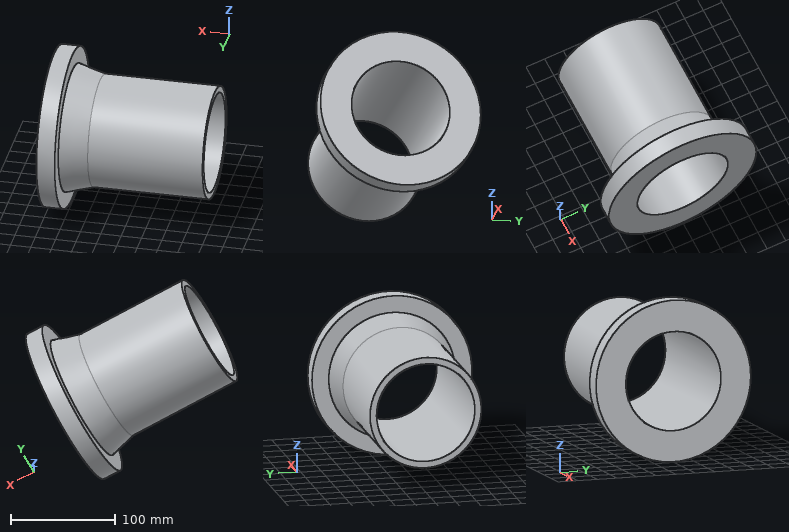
import cadquery as cq

total_length = 158.0
flange_diameter = 158.0
flange_thickness = 18.0
neck_length = 27.0
neck_large_diameter = 125.0
pipe_diameter = 110.0
bore_diameter = 96.9

flange_start = total_length - flange_thickness
neck_start = flange_start - neck_length

bore_radius = bore_diameter / 2
pipe_radius = pipe_diameter / 2
neck_radius = neck_large_diameter / 2
flange_radius = flange_diameter / 2

wall_section = (
    cq.Workplane("XY")
    .moveTo(0, bore_radius)
    .lineTo(0, pipe_radius)
    .lineTo(neck_start, pipe_radius)
    .lineTo(flange_start, neck_radius)
    .lineTo(flange_start, flange_radius)
    .lineTo(total_length, flange_radius)
    .lineTo(total_length, bore_radius)
    .close()
)

result = wall_section.revolve(360, (0, 0, 0), (1, 0, 0))